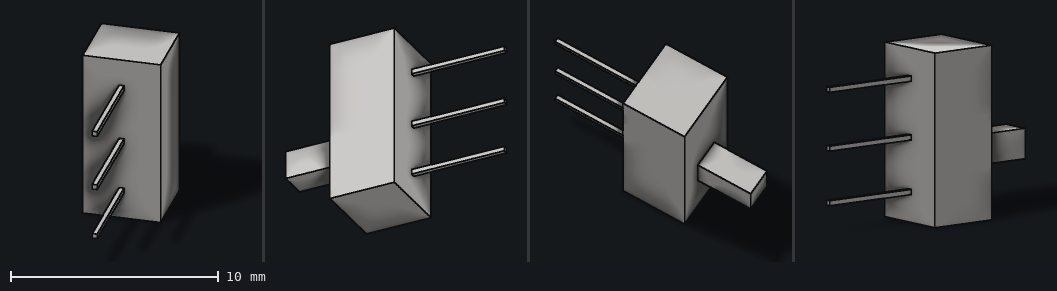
import cadquery as cq

total_length = 11.5
body_width = 3.9
body_height = 8.55

lever_length = 3.0
lever_side = 1.5
lever_z = -1.04

pin_length = 5.0
pin_side = 0.25
outer_pin_z = 2.77
middle_pin_z = -0.1

body_depth = total_length - lever_length - pin_length


def block(width, height, y_start, y_end, z_center):
    """Box centred on X = 0, running along Y between two positions."""
    length = y_end - y_start
    return cq.Workplane("XY").box(width, length, height).translate((0, y_start + length / 2, z_center))


result = block(body_width, body_height, 0, body_depth, 0)
result = result.union(block(lever_side, lever_side, body_depth, body_depth + lever_length, lever_z))

for pin_z in (outer_pin_z, middle_pin_z, -outer_pin_z):
    result = result.union(block(pin_side, pin_side, -pin_length, 0, pin_z))